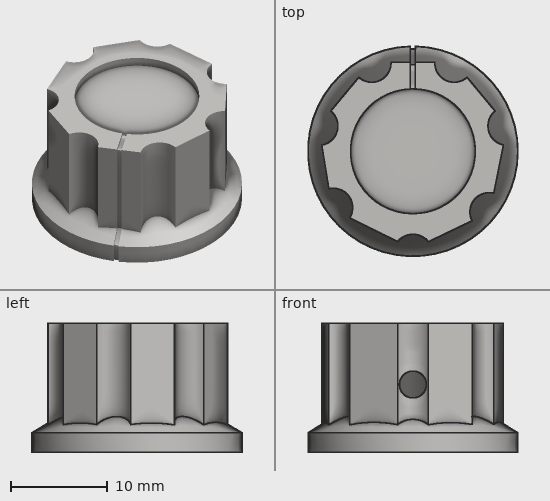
import cadquery as cq
import math

skirt_radius = 10.85
rim_height = 2.02
cone_top_radius = 5.86
cone_slope = 0.61

height = 13.35
grip_flat_y = 9.2
grip_corners = [
    (4.3, grip_flat_y),
    (9.75, 2.65),
    (7.97, -6.3),
    (0, -10.12),
    (-8.35, -6.0),
    (-9.75, 2.65),
    (-4.3, grip_flat_y),
]

flute_radius = 2.0
corner_flute = (10.58, 180)
side_flutes = [(10.08, 25), (10.1, 75), (10.08, 128.5), (10.08, -125.3), (10.1, -75), (10.08, -25)]

recess_radius = 6.45
recess_depth = 1.0
groove_width = 0.5
groove_depth = 0.25
screw_radius = 1.4
screw_height = 7.02
bore_radius = 3.0
bore_depth = 10.0


def cone_height(radius):
    """Height of the skirt surface at a distance from the axis."""
    return rim_height + cone_slope * (skirt_radius - radius)


def make_skirt():
    profile = [
        (0, 0),
        (skirt_radius, 0),
        (skirt_radius, rim_height),
        (cone_top_radius, cone_height(cone_top_radius)),
        (0, cone_height(cone_top_radius)),
    ]
    return cq.Workplane("XZ").polyline(profile).close().revolve(360, (0, 0, 0), (0, 1, 0))


def make_grip():
    grip = cq.Workplane("XY").polyline(grip_corners).close().extrude(height)
    for distance, angle in [corner_flute] + side_flutes:
        x = distance * math.sin(math.radians(angle))
        y = distance * math.cos(math.radians(angle))
        grip = grip.cut(cq.Workplane("XY").center(x, y).circle(flute_radius).extrude(height))
    return grip


def make_pointer_groove():
    """Slot of even depth along the top, grip flat, cone and rim on the +Y side."""
    face_floor = grip_flat_y - groove_depth
    rim_floor = skirt_radius - groove_depth
    outside = skirt_radius + groove_depth
    profile = [
        (0, height),
        (0, height - groove_depth),
        (face_floor, height - groove_depth),
        (face_floor, cone_height(face_floor) - groove_depth),
        (rim_floor, cone_height(rim_floor) - groove_depth),
        (rim_floor, 0),
        (outside, 0),
        (outside, height),
    ]
    return cq.Workplane("YZ").polyline(profile).close().extrude(groove_width / 2, both=True)


recess = cq.Workplane("XY").workplane(offset=height - recess_depth).circle(recess_radius).extrude(recess_depth)
shaft_bore = cq.Workplane("XY").circle(bore_radius).extrude(bore_depth)
screw_hole = cq.Workplane("XZ").center(0, screw_height).circle(screw_radius).extrude(skirt_radius)

result = make_skirt().union(make_grip())
for cutter in (make_pointer_groove(), recess, shaft_bore, screw_hole):
    result = result.cut(cutter)